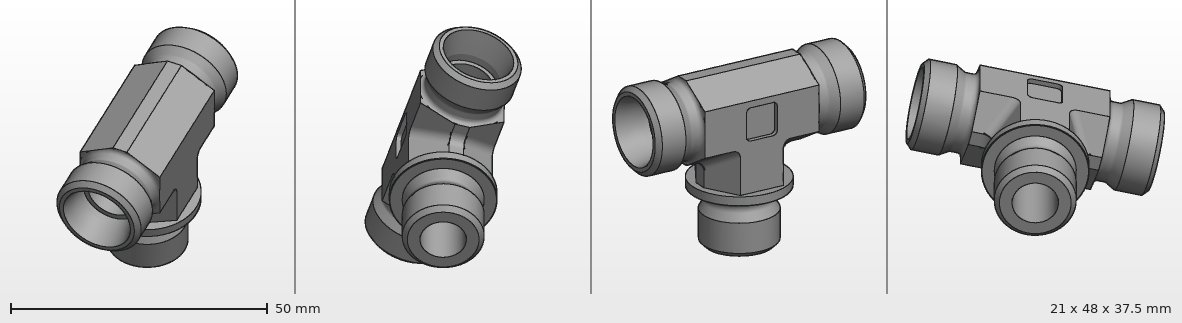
import cadquery as cq
import math


across_flats = 17.0
top_flat_width = 3.0
body_length = 26.0
inner_corner_radius = 2.0

run_length = 48.0
run_thread_diameter = 18.0
run_thread_length = 6.4
run_neck_diameter = 15.7
run_bore = 10.0
tube_socket_diameter = 12.0
tube_socket_depth = 7.0
seat_mouth_diameter = 14.3
seat_half_angle = 12.0

branch_end = 28.5
branch_thread_diameter = 16.0
branch_thread_length = 7.4
groove_lower_end = 9.1
groove_upper_end = 10.4
groove_diameter = 13.65
groove_upper_diameter = 13.85
collar_bottom = 12.0
collar_thickness = 2.0
collar_diameter = 21.0
collar_edge_chamfer = 0.15
branch_bore = 9.0

thread_chamfer = 1.0
neck_fillet = 1.0
relief_angle = 30.0

recess_size = 7.0
recess_depth = 1.0
recess_corner_radius = 1.0

run_end = run_length / 2
body_end = body_length / 2
half_flats = across_flats / 2
relief_slope = math.tan(math.radians(relief_angle))
collar_top = collar_bottom + collar_thickness
hex_slope = math.radians(30)
side_half = half_flats * math.tan(hex_slope)
crown = 2 * side_half - top_flat_width / 2 * math.tan(hex_slope)


def hex_section(plane):
    """Hexagon with vertical flats at +-X, its two remaining corners cut flat."""
    flat = top_flat_width / 2
    return cq.Workplane(plane).polyline([
        (half_flats, -side_half),
        (half_flats, side_half),
        (flat, crown),
        (-flat, crown),
        (-half_flats, side_half),
        (-half_flats, -side_half),
        (-flat, -crown),
        (flat, -crown),
    ]).close()


def is_inner_corner(edge):
    """True on the creases where the run and branch prisms meet."""
    center = edge.Center()
    below_axis = center.z < 0
    on_miter = math.isclose(abs(center.y), -center.z)
    return below_axis and on_miter


def make_body():
    run = hex_section("XZ").extrude(body_end, both=True)
    branch = hex_section("XY").extrude(collar_top - branch_end)
    body = run.union(branch)
    creases = [edge for edge in body.edges().vals() if is_inner_corner(edge)]
    return body.newObject(creases).fillet(inner_corner_radius)


def make_run_stud():
    """Stud on the +Y end, turned about the Y axis."""
    thread = run_thread_diameter / 2
    neck = run_neck_diameter / 2
    thread_end = run_end - run_thread_length
    relief_end = thread_end - (thread - neck) / relief_slope
    turn = math.radians(relief_angle)
    arc_start = relief_end - neck_fillet * math.tan(turn / 2)
    arc_center_radius = neck + neck_fillet

    def relief_arc(angle):
        return (
            arc_center_radius - neck_fillet * math.cos(angle),
            arc_start + neck_fillet * math.sin(angle),
        )

    return (
        cq.Workplane("XY")
        .moveTo(0, 0)
        .lineTo(neck, 0)
        .lineTo(neck, arc_start)
        .threePointArc(relief_arc(turn / 2), relief_arc(turn))
        .lineTo(thread, thread_end)
        .lineTo(thread, run_end - thread_chamfer)
        .lineTo(thread - thread_chamfer, run_end)
        .lineTo(0, run_end)
        .close()
        .revolve(360, (0, 0, 0), (0, 1, 0))
    )


def make_neck_root():
    """Rounded root between neck and body, kept inside the hexagonal outline."""
    neck = run_neck_diameter / 2
    mid = neck_fillet * (1 - math.sqrt(0.5))
    flare = (
        cq.Workplane("XY")
        .moveTo(0, 0)
        .lineTo(neck + neck_fillet, 0)
        .lineTo(neck + neck_fillet, body_end)
        .threePointArc((neck + mid, body_end + mid), (neck, body_end + neck_fillet))
        .lineTo(0, body_end + neck_fillet)
        .close()
        .revolve(360, (0, 0, 0), (0, 1, 0))
    )
    return flare.intersect(hex_section("XZ").extrude(run_end, both=True))


def make_run_socket():
    """Tapered seat and tube socket cut into the +Y end."""
    mouth = seat_mouth_diameter / 2
    socket = tube_socket_diameter / 2
    seat_depth = (mouth - socket) / math.tan(math.radians(seat_half_angle))
    return (
        cq.Workplane("XY")
        .moveTo(0, run_end)
        .lineTo(mouth, run_end)
        .lineTo(socket, run_end - seat_depth)
        .lineTo(socket, run_end - tube_socket_depth)
        .lineTo(0, run_end - tube_socket_depth)
        .close()
        .revolve(360, (0, 0, 0), (0, 1, 0))
    )


def make_branch_stud():
    """Collar, groove and stud turned about Z, profile heights from the branch end."""
    thread = branch_thread_diameter / 2
    groove_lower = thread - (groove_lower_end - branch_thread_length) * relief_slope
    groove_middle = (groove_diameter / 2, (groove_lower_end + groove_upper_end) / 2)
    groove_upper = (groove_upper_diameter / 2, groove_upper_end)
    collar = collar_diameter / 2
    stud = (
        cq.Workplane("XZ")
        .moveTo(0, 0)
        .lineTo(thread - thread_chamfer, 0)
        .lineTo(thread, thread_chamfer)
        .lineTo(thread, branch_thread_length)
        .lineTo(groove_lower, groove_lower_end)
        .threePointArc(groove_middle, groove_upper)
        .lineTo(thread, collar_bottom)
        .lineTo(collar - collar_edge_chamfer, collar_bottom)
        .lineTo(collar, collar_bottom + collar_edge_chamfer)
        .lineTo(collar, collar_top)
        .lineTo(0, collar_top)
        .close()
        .revolve(360, (0, 0, 0), (0, 1, 0))
    )
    return stud.translate((0, 0, -branch_end))


def both_ends(shape):
    """The shape together with its mirror image on the -Y end."""
    return shape.union(shape.mirror("XZ"))


def make_bores():
    run = cq.Workplane("XZ").circle(run_bore / 2).extrude(run_end, both=True)
    branch = cq.Workplane("XY").circle(branch_bore / 2).extrude(-branch_end)
    return run.union(branch)


def make_recess():
    return (
        cq.Workplane("XY")
        .box(recess_depth, recess_size, recess_size, centered=(False, True, True))
        .edges("|X")
        .fillet(recess_corner_radius)
        .translate((-half_flats, 0, 0))
    )


result = (
    make_body()
    .union(both_ends(make_run_stud()))
    .union(both_ends(make_neck_root()))
    .union(make_branch_stud())
    .cut(make_bores())
    .cut(make_run_socket())
    .cut(make_run_socket().mirror("XZ"))
    .cut(make_recess())
)